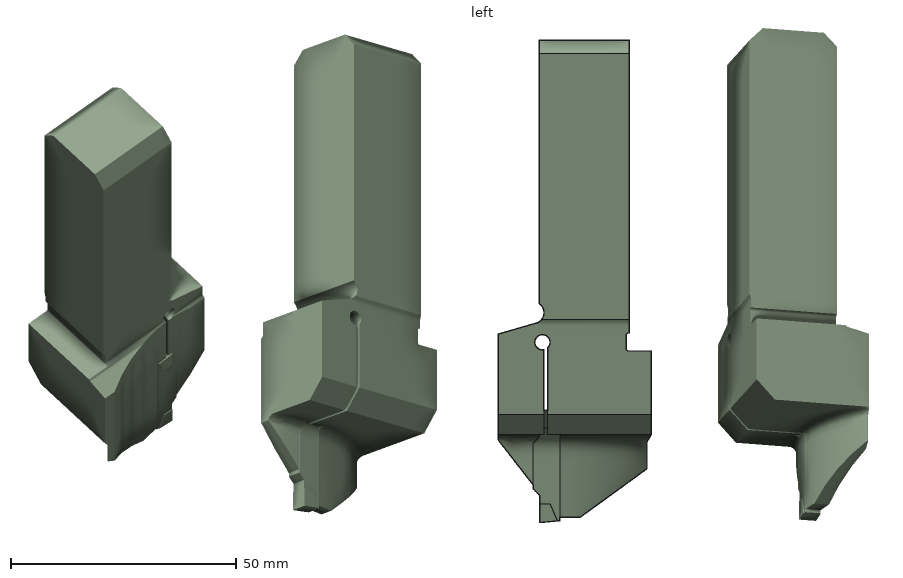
import cadquery as cq
import math

total_width = 26.1
total_depth = 34.1
total_height = 107.1

shank_size = 20.0
shank_front = 4.9
shank_back = shank_front + shank_size
shank_chamfer = 3.0
shank_relief = 0.3
relief_top = 45.1
relief_bottom = 43.9

head_bottom = 19.6
head_corner_width = 4.2
head_corner_height = 4.4
front_ledge = 38.1
undercut_top = 42.1
undercut_depth = 0.6
undercut_radius = 0.4
shelf_top = 38.7
shelf_bevel_x = 21.1
shelf_bevel_bottom = 37.8
shelf_outer = 36.5
back_notch_top = 48.6
back_notch_deepest = (23.9, 46.8)
back_slope_start = (25.9, 44.2)
back_slope_end = 41.9

slot_front = 23.0
slot_width = 0.9
slot_hole_y = 24.2
slot_hole_z = 40.1
slot_hole_radius = 1.66

curve_axis_y = 23.9
inner_face = 16.7
inner_radius = 33.2
outer_face = 20.2
outer_radius = 40.7
back_pad_face = 20.7
blade_front = 1.0
blade_bottom = 1.2
blade_slope_y = 15.9
blade_slope_z = 12.0
blade_root_fillet = 1.6
jaw_slope_top = 18.4
jaw_slope_bottom = 8.4

insert_length = 25.2
insert_seat = 20.4
insert_middle_back = 26.2
insert_tip_back = 24.8
middle_end = 7.5
middle_slope_end = 6.1
end_clearance = 0.4
tip_overhang = 0.2
tip_height = 4.2
tip_front = 22.5
tip_corner_y = 20.9


def curve_y(face, radius, x, side):
    """Y where a curved blade face reaches x, on the front (-1) or back (1) side."""
    return curve_axis_y + side * math.sqrt(radius ** 2 - (face + radius - x) ** 2)


def make_plan():
    """Plan outline, hollowed on the +X side by the large outer arc."""
    arc_start = curve_y(outer_face, outer_radius, total_width, -1)
    arc_end = curve_y(outer_face, outer_radius, back_pad_face, 1)
    return (
        cq.Workplane("XY")
        .moveTo(0, 0)
        .lineTo(total_width, 0)
        .lineTo(total_width, arc_start)
        .threePointArc((outer_face, curve_axis_y), (back_pad_face, arc_end))
        .lineTo(back_pad_face, total_depth)
        .lineTo(0, total_depth)
        .close()
        .extrude(total_height)
    )


def make_front_profile():
    """XZ outline of the shank and head, extruded through the depth."""
    relief_radius = ((relief_top - relief_bottom) ** 2 + shank_relief ** 2) / (2 * shank_relief)
    relief_mid_z = (relief_top + relief_bottom) / 2
    relief_rise = relief_mid_z - relief_bottom
    relief_mid_x = shank_relief - relief_radius + math.sqrt(relief_radius ** 2 - relief_rise ** 2)
    return (
        cq.Workplane("XZ")
        .moveTo(shank_relief + head_corner_width, head_bottom)
        .lineTo(total_width, head_bottom)
        .lineTo(total_width, shelf_outer)
        .lineTo(shelf_bevel_x, shelf_bevel_bottom)
        .lineTo(shank_size, shelf_top)
        .lineTo(shank_size, total_height - shank_chamfer)
        .lineTo(shank_size - shank_chamfer, total_height)
        .lineTo(shank_chamfer, total_height)
        .lineTo(0, total_height - shank_chamfer)
        .lineTo(0, relief_top)
        .threePointArc((relief_mid_x, relief_mid_z), (shank_relief, relief_bottom))
        .lineTo(shank_relief, head_bottom + head_corner_height)
        .close()
        .extrude(-total_depth)
    )


def make_side_profile():
    """YZ outline of the shank and head, extruded through the width."""
    undercut_y = shank_front + undercut_depth
    profile = (
        cq.Workplane("YZ")
        .moveTo(0, head_bottom)
        .lineTo(total_depth, head_bottom)
        .lineTo(total_depth, back_slope_end)
        .lineTo(*back_slope_start)
        .threePointArc(back_notch_deepest, (shank_back, back_notch_top))
        .lineTo(shank_back, total_height)
        .lineTo(shank_front, total_height)
        .lineTo(shank_front, undercut_top)
        .lineTo(undercut_y, undercut_top)
        .lineTo(undercut_y, front_ledge)
        .lineTo(0, front_ledge)
        .close()
        .extrude(total_width)
    )
    for corner_z in (undercut_top, front_ledge):
        corner = cq.selectors.NearestToPointSelector((total_width / 2, undercut_y, corner_z))
        profile = profile.edges(corner).fillet(undercut_radius)
    return profile


def make_blade():
    """Curved blade: a large round post with a filleted root, trimmed to the blade's outline."""
    axis_x = inner_face + inner_radius
    fillet_center_z = head_bottom - blade_root_fillet
    fillet_mid = blade_root_fillet * (1 - math.sqrt(0.5))
    post = (
        cq.Workplane("XZ", origin=(axis_x, curve_axis_y, 0))
        .moveTo(0, 0)
        .lineTo(-inner_radius, 0)
        .lineTo(-inner_radius, fillet_center_z)
        .threePointArc(
            (-inner_radius - fillet_mid, head_bottom - fillet_mid),
            (-inner_radius - blade_root_fillet, head_bottom),
        )
        .lineTo(0, head_bottom)
        .close()
        .revolve(360, (0, 0, 0), (0, 1, 0))
    )
    side = (
        cq.Workplane("YZ")
        .moveTo(0, head_bottom)
        .lineTo(blade_front, head_bottom - blade_root_fillet)
        .lineTo(blade_front, blade_slope_z)
        .lineTo(blade_slope_y, blade_bottom)
        .lineTo(insert_seat, blade_bottom)
        .lineTo(insert_middle_back, jaw_slope_bottom)
        .lineTo(total_depth, jaw_slope_top)
        .lineTo(total_depth, head_bottom)
        .close()
        .extrude(total_width)
    )
    return side.intersect(post)


def insert_prism(x_start, x_end):
    """Insert outline, the same at both ends, extruded between two X positions."""
    top = insert_length
    return (
        cq.Workplane("YZ", origin=(x_start, 0, 0))
        .polyline([
            (insert_seat, end_clearance),
            (insert_tip_back, 0),
            (insert_tip_back, middle_slope_end),
            (insert_middle_back, middle_end),
            (insert_middle_back, top - middle_end),
            (insert_tip_back, top - middle_slope_end),
            (insert_tip_back, top),
            (insert_seat, top - end_clearance),
        ])
        .close()
        .extrude(x_end - x_start)
    )


def make_tip():
    """Lower cutting tip, slightly wider than the insert's body."""
    return (
        cq.Workplane("YZ", origin=(inner_face - tip_overhang, 0, 0))
        .polyline([
            (tip_corner_y, end_clearance),
            (insert_tip_back, 0),
            (insert_tip_back, tip_height),
            (tip_front, tip_height),
        ])
        .close()
        .extrude(outer_face - inner_face + 2 * tip_overhang)
    )


def make_insert():
    tip = make_tip()
    upper_tip = tip.mirror("XY", (0, 0, insert_length / 2))
    return insert_prism(inner_face, outer_face).union(tip).union(upper_tip)


def make_slot():
    """Narrow slot and its round end, through the width."""
    slot = cq.Workplane("XY").box(
        total_width, slot_width, slot_hole_z - head_bottom, centered=False
    ).translate((0, slot_front, head_bottom))
    hole = (
        cq.Workplane("YZ")
        .center(slot_hole_y, slot_hole_z)
        .circle(slot_hole_radius)
        .extrude(total_width)
    )
    return slot.union(hole)


def make_holder(insert):
    holder = make_front_profile().intersect(make_side_profile()).union(make_blade())
    holder = holder.intersect(make_plan())
    pocket = insert_prism(inner_face, total_width).union(insert)
    fillet_clearance = insert_prism(0, inner_face).intersect(
        cq.Workplane("XY").box(total_width, total_depth, head_bottom, centered=False)
    )
    return holder.cut(make_slot()).cut(pocket).cut(fillet_clearance)


cutting_insert = make_insert()
tool_holder = make_holder(cutting_insert)
result = cq.Compound.makeCompound([tool_holder.val(), cutting_insert.val()])